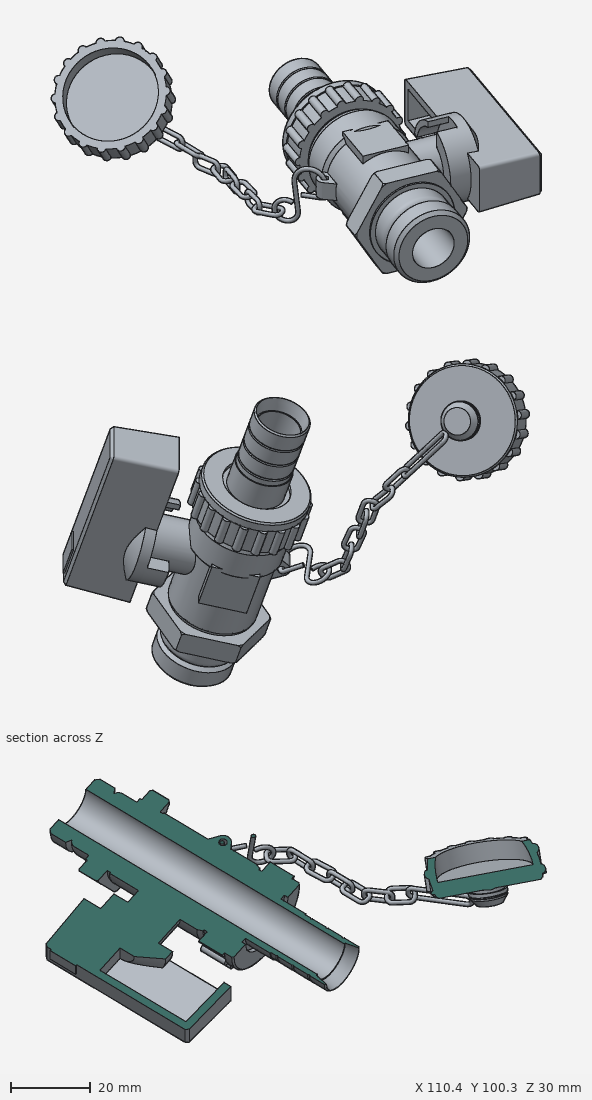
import cadquery as cq
import math


bore_d = 11.5
tail_start = -48.7
tail_d = 14.7
tail_chamfer = 0.7
tail_base_start = -31.4
tail_base_d = 15.2
barb_grooves = [-43.2, -38.2, -33.2]
barb_groove_width = 0.7
barb_groove_depth = 0.2
mouth_d = 13.9
mouth_throat_d = 12.1
mouth_depth = 4.0

nut_start = -24.7
rib_start = -22.1
nut_end = -14.6
nut_flange_d = 28.7
nut_rib_base_d = 28.0
nut_flange_chamfer = 0.4
nut_recess_d = 17.9
nut_recess_depth = 1.1

collar_start = -13.7
collar_chamfer_length = 1.5
collar_chamfer_depth = 0.5
collar_end = -4.4
collar_slope_end = -3.4
collar_d = 25.3
barrel_d = 23.3
hex_neck_d = 22.6
hex_neck_start = 15.9
hex_start = 16.8
hex_end = 22.9
hex_across_flats = 27.0
hex_chamfer = 0.4
spigot_ring_d = 23.3
spigot_ring_end = 23.4
spigot_d = 21.0
spigot_shoulder_d = 20.5
spigot_round_start = 27.6
spigot_round_r = 2.1
spigot_groove_d = 18.1
spigot_groove_x = 29.6
spigot_groove_flank = 0.8
spigot_end = 36.06
spigot_chamfer = 1.0

rib_count = 18
rib_d = 2.3
rib_circle_r = 14.08

pad_start = -5.5
pad_end = 7.0
pad_width = 12.6
pad_span = 24.3

lug_height = 5.0
lug_hole_d = 2.0
lug_hole_x = -1.4
lug_hole_y = -13.0
lug_tip_r = 2.2
lug_left_foot = (-4.4, -12.4)
lug_right_foot = (2.3, -11.5)
lug_inner_y = -9.9

stem_d = 13.8
skirt_start = 16.0
hub_start = 21.6
hub_top = 24.6
hub_peak = 28.7
hub_d = 22.5
hub_peak_d = 8.8
skirt_inner_d = 19.2
skirt_slot_width = 5.3
skirt_gap_top = 2.4
handle_x_min = -29.5
handle_x_max = 16.5
handle_top = 39.3
handle_thickness = 13.7
handle_wall = 2.2
handle_draft = 2
handle_edge = 1.0
handle_top_chamfer = 0.8
plate_x_min = 5.7
plate_x_max = 13.8
plate_width = 7.1
plate_top = 39.8

wire_d = 1.2
link_length = 7.3
link_width = 3.6
link_corner_r = 1.4

hook_lean = (-0.636, -0.772, 0)
upper_loop_r = 4.1
upper_loop_center = (3.9, 0.4)
lower_loop_r = 3.1
lower_loop_center = (10.0, -8.8)
lower_loop_opening = 50
hook_corner_r = 1.0
hook_foot = -3.5
hook_foot_end = 6.1

cap_center = (-57.5, -46.8, 3.5)
cap_axis = (0.5, -0.43, 0.75)
cap_height = 8.4
cap_d = 28.6
cap_chamfer = 0.4
cap_rib_offset = 1.0
cap_rib_turn = 13
cap_cavity_d = 24.5
cap_cavity_depth = 5.1
knob_length = 4.6
knob_end_d = 7.0
knob_d = 9.7
knob_neck_d = 9.0
knob_ring_d = 10.0
knob_ring_start = 0.9
knob_ring_end = 1.9
knob_neck_end = 2.3
knob_taper_start = 2.8
eye_tip = (-44.8, -32.7, -7.7)
eye_root = (-59.6, -39.5, -7.0)


def revolved_about_x(points):
    """Solid of revolution about X from (x, radius) points; the ends close onto the axis."""
    outline = [(points[0][0], 0)] + points + [(points[-1][0], 0)]
    return cq.Workplane("XY").polyline(outline).close().revolve(360, (0, 0, 0), (1, 0, 0))


def disc_along_y(diameter, start, end):
    plane = cq.Plane((0, start, 0), (1, 0, 0), (0, 1, 0))
    return cq.Workplane(plane).circle(diameter / 2).extrude(end - start)


def point_on_circle(center, radius, angle):
    a = math.radians(angle)
    return (center[0] + radius * math.cos(a), center[1] + radius * math.sin(a))


def grip_ribs(plane, length):
    return (
        cq.Workplane(plane)
        .polarArray(rib_circle_r, 0, 360, rib_count)
        .circle(rib_d / 2)
        .extrude(length)
    )


def hose_tail():
    r = tail_d / 2
    profile = [(tail_start, r - tail_chamfer), (tail_start + tail_chamfer, r)]
    for x in barb_grooves:
        profile += [
            (x - barb_groove_width / 2, r),
            (x, r - barb_groove_depth),
            (x + barb_groove_width / 2, r),
        ]
    profile += [
        (tail_base_start, r),
        (tail_base_start, tail_base_d / 2),
        (nut_end, tail_base_d / 2),
    ]
    return revolved_about_x(profile)


def union_nut():
    r = nut_flange_d / 2
    nut = revolved_about_x([
        (nut_start, r - nut_flange_chamfer),
        (nut_start + nut_flange_chamfer, r),
        (rib_start, r),
        (rib_start, nut_rib_base_d / 2),
        (nut_end, nut_rib_base_d / 2),
    ])
    rib_plane = cq.Plane((rib_start, 0, 0), (0, 1, 0), (1, 0, 0))
    nut = nut.union(grip_ribs(rib_plane, nut_end - rib_start))
    recess = (
        cq.Workplane("YZ", origin=(nut_start, 0, 0))
        .circle(nut_recess_d / 2)
        .extrude(nut_recess_depth)
    )
    return nut.cut(recess)


def barrel():
    r = barrel_d / 2
    return revolved_about_x([
        (nut_end, r),
        (collar_start, r),
        (collar_start, collar_d / 2 - collar_chamfer_depth),
        (collar_start + collar_chamfer_length, collar_d / 2),
        (collar_end, collar_d / 2),
        (collar_slope_end, r),
        (hex_neck_start, r),
        (hex_neck_start, hex_neck_d / 2),
        (hex_start, hex_neck_d / 2),
    ])


def hexagon():
    across_corners = hex_across_flats / math.cos(math.pi / 6)
    r = across_corners / 2
    prism = (
        cq.Workplane("YZ", origin=(hex_start, 0, 0))
        .polygon(6, across_corners)
        .extrude(hex_end - hex_start)
    )
    turned = revolved_about_x([
        (hex_start, r - hex_chamfer),
        (hex_start + hex_chamfer, r),
        (hex_end - hex_chamfer, r),
        (hex_end, r - hex_chamfer),
    ])
    return prism.intersect(turned)


def spigot():
    r = spigot_d / 2
    shoulder_r = spigot_shoulder_d / 2
    groove_r = spigot_groove_d / 2
    return (
        cq.Workplane("XY")
        .moveTo(hex_end, 0)
        .lineTo(hex_end, spigot_ring_d / 2)
        .lineTo(spigot_ring_end, spigot_ring_d / 2)
        .lineTo(spigot_ring_end, shoulder_r)
        .lineTo(spigot_round_start, shoulder_r)
        .radiusArc((spigot_groove_x, groove_r), spigot_round_r)
        .lineTo(spigot_groove_x + spigot_groove_flank, r)
        .lineTo(spigot_end - spigot_chamfer, r)
        .lineTo(spigot_end, r - spigot_chamfer)
        .lineTo(spigot_end, 0)
        .close()
        .revolve(360, (0, 0, 0), (1, 0, 0))
    )


def wrench_pads():
    length = pad_end - pad_start
    return cq.Workplane("XY").box(length, pad_width, pad_span).translate((pad_start + length / 2, 0, 0))


def chain_lug():
    center = (lug_hole_x, lug_hole_y)
    return (
        cq.Workplane("XY")
        .moveTo(lug_left_foot[0], lug_inner_y)
        .lineTo(*lug_left_foot)
        .lineTo(*point_on_circle(center, lug_tip_r, 215))
        .threePointArc(
            point_on_circle(center, lug_tip_r, 270),
            point_on_circle(center, lug_tip_r, 318),
        )
        .lineTo(*lug_right_foot)
        .lineTo(lug_right_foot[0], lug_inner_y)
        .close()
        .extrude(lug_height / 2, both=True)
    )


def lug_hole():
    return (
        cq.Workplane("XY")
        .center(lug_hole_x, lug_hole_y)
        .circle(lug_hole_d / 2)
        .extrude(lug_height, both=True)
    )


def flow_passage():
    mouth = revolved_about_x([
        (tail_start, mouth_d / 2),
        (tail_start + mouth_depth, mouth_throat_d / 2),
    ])
    through = (
        cq.Workplane("YZ", origin=(tail_start, 0, 0))
        .circle(bore_d / 2)
        .extrude(spigot_end - tail_start)
    )
    return mouth.union(through)


def handle_box(inset, height):
    """Drafted block standing on the handle's lower face, inset on its four sides."""
    plane = cq.Plane(((handle_x_min + handle_x_max) / 2, hub_start, 0), (1, 0, 0), (0, 1, 0))
    width = handle_x_max - handle_x_min - 2 * inset
    return (
        cq.Workplane(plane)
        .rect(width, handle_thickness - 2 * inset)
        .extrude(height, taper=handle_draft)
    )


def handle():
    """Handle grip, hollow on its long side and solid beyond the stem."""
    height = handle_top - hub_start
    grip = handle_box(0, height)
    grip = grip.edges("not(#Y)").edges("not(|X or |Z)").fillet(handle_edge)
    grip = grip.faces(">Y").edges().chamfer(handle_top_chamfer)
    cavity = handle_box(handle_wall, height - handle_wall)
    solid_end = cq.Workplane("XY").box(handle_x_max, 2 * handle_top, handle_thickness)
    grip = grip.cut(cavity.cut(solid_end.translate((handle_x_max / 2, 0, 0))))
    plate = cq.Workplane("XY").box(plate_x_max - plate_x_min, handle_wall, plate_width)
    plate = plate.translate(((plate_x_min + plate_x_max) / 2, plate_top - handle_wall / 2, 0))
    return grip.union(plate).union(handle_hub())


def handle_hub():
    """Coned hub with a slotted stop skirt around the stem."""
    hub = (
        cq.Workplane("XY")
        .polyline([
            (0, hub_start),
            (hub_d / 2, hub_start),
            (hub_d / 2, hub_top),
            (hub_peak_d / 2, hub_peak),
            (0, hub_peak),
        ])
        .close()
        .revolve(360, (0, 0, 0), (0, 1, 0))
    )
    depth = hub_start - skirt_start
    middle = (skirt_start + hub_start) / 2
    hollow = disc_along_y(skirt_inner_d, skirt_start, hub_start)
    hollow = hollow.cut(cq.Workplane("XY").box(hub_d, depth, hub_d).translate((hub_d / 2, middle, 0)))
    slot = cq.Workplane("XY").box(skirt_slot_width, depth, hub_d).translate((0, middle, hub_d / 2))
    gap = cq.Workplane("XY").box(hub_d, depth, hub_d)
    gap = gap.translate((-hub_d / 2, middle, skirt_gap_top - hub_d / 2))
    skirt = disc_along_y(hub_d, skirt_start, hub_start).cut(hollow)
    return hub.union(skirt.cut(slot).cut(gap))


def make_valve():
    stem = disc_along_y(stem_d, 0, hub_start)
    valve = hose_tail().union(union_nut()).union(barrel()).union(hexagon()).union(spigot())
    valve = valve.union(wrench_pads()).union(chain_lug()).union(stem)
    valve = valve.cut(lug_hole()).cut(flow_passage())
    return valve.union(handle())


def wire_link(length):
    """Closed rounded-rectangle wire lying on XY, with its long sides on X."""
    x = length / 2
    y = link_width / 2
    c = link_corner_r
    k = c * (1 - math.sqrt(0.5))
    path = (
        cq.Workplane("XY")
        .moveTo(0, -y)
        .lineTo(x - c, -y)
        .threePointArc((x - k, -y + k), (x, -y + c))
        .lineTo(x, y - c)
        .threePointArc((x - k, y - k), (x - c, y))
        .lineTo(-x + c, y)
        .threePointArc((-x + k, y - k), (-x, y - c))
        .lineTo(-x, -y + c)
        .threePointArc((-x + k, -y + k), (-x + c, -y))
        .close()
    )
    return cq.Workplane("YZ", origin=(0, -y, 0)).circle(wire_d / 2).sweep(path)


def placed(body, center, along, across):
    normal = cq.Vector(*along).cross(cq.Vector(*across))
    plane = cq.Plane(cq.Vector(*center), cq.Vector(*along), normal)
    return body.val().moved(cq.Location(plane))


def make_hook():
    """S-shaped wire drawn with its upright direction on local Y."""
    ux, uy = upper_loop_center
    lx, ly = lower_loop_center

    def on_upper(angle):
        return point_on_circle(upper_loop_center, upper_loop_r, angle)

    def on_lower(angle):
        return point_on_circle(lower_loop_center, lower_loop_r, angle)

    gap = math.hypot(lx - ux, ly - uy)
    heading = math.degrees(math.atan2(ly - uy, lx - ux))
    touch = heading + math.degrees(math.acos((upper_loop_r + lower_loop_r) / gap))
    lower_end = touch + 180 - lower_loop_opening
    inner = ux - upper_loop_r
    k = hook_corner_r * (1 - math.sqrt(0.5))
    path = (
        cq.Workplane("XY")
        .moveTo(hook_foot_end, hook_foot)
        .lineTo(inner + hook_corner_r, hook_foot)
        .threePointArc((inner + k, hook_foot + k), (inner, hook_foot + hook_corner_r))
        .lineTo(inner, uy)
        .threePointArc(on_upper(90), on_upper(touch))
        .lineTo(*on_lower(touch + 180))
        .threePointArc(on_lower(touch - lower_loop_opening / 2), on_lower(lower_end))
    )
    start = cq.Workplane("YZ", origin=(hook_foot_end, hook_foot, 0))
    hook = start.circle(wire_d / 2).sweep(path)
    return placed(hook, (lug_hole_x, lug_hole_y, 0), hook_lean, (0, 0, 1))


def cap_knob():
    return (
        cq.Workplane("XZ")
        .polyline([
            (0, 0),
            (knob_neck_d / 2, 0),
            (knob_neck_d / 2, -knob_ring_start),
            (knob_ring_d / 2, -knob_ring_start),
            (knob_ring_d / 2, -knob_ring_end),
            (knob_neck_d / 2, -knob_ring_end),
            (knob_neck_d / 2, -knob_neck_end),
            (knob_d / 2, -knob_neck_end),
            (knob_d / 2, -knob_taper_start),
            (knob_end_d / 2, -knob_length),
            (0, -knob_length),
        ])
        .close()
        .revolve(360, (0, 0, 0), (0, 1, 0))
    )


def make_eye():
    """Long wire eye that ties the chain to the knob of the cap."""
    tip = cq.Vector(*eye_tip)
    root = cq.Vector(*eye_root)
    center = (tip + root) * 0.5
    along = tip - root
    return placed(wire_link(along.Length), center.toTuple(), along.toTuple(), (0, 0, 1))


def make_cap():
    """Cap built opening along +Z with its back on the local XY plane, then set in place."""
    cup = cq.Workplane("XY").circle(cap_d / 2).extrude(cap_height)
    cup = cup.faces("<Z").edges().chamfer(cap_chamfer)
    ribs = grip_ribs(cq.Plane((0, 0, cap_rib_offset)), cap_height - cap_rib_offset)
    ribs = ribs.rotate((0, 0, 0), (0, 0, 1), cap_rib_turn)
    cavity = (
        cq.Workplane("XY", origin=(0, 0, cap_height - cap_cavity_depth))
        .circle(cap_cavity_d / 2)
        .extrude(cap_cavity_depth)
    )
    axis = cq.Vector(*cap_axis).normalized()
    back = cq.Vector(*cap_center) - axis * cap_height
    plane = cq.Plane(back, cq.Vector(0, 0, 1).cross(axis), axis)
    cap = cup.union(ribs).cut(cavity).union(cap_knob()).val().moved(cq.Location(plane))
    return cq.Workplane("XY").add(cap).union(cq.Workplane("XY").add(make_eye())).val()


upright = (0, 0, 1)
level = (0, 1, 0)
link_places = [
    ((-11.4, -24.1, -9.9), (0.755, 0.656, 0.06), (-0.656, 0.755, 0)),
    ((-16.2, -26.1, -9.9), (1, 0.03, 0.08), upright),
    ((-22.3, -26.1, -9.7), (1, 0.06, 0), level),
    ((-28.2, -26.7, -10.3), (1, 0, 0), upright),
    ((-32.9, -26.7, -10.9), (1, 0, 0), level),
    ((-38.1, -29.0, -10.7), (0.88, 0.47, 0), upright),
    ((-43.5, -31.4, -8.7), (0.84, 0.49, -0.21), (0.45, -0.76, 0.47)),
]


def make_links():
    link = wire_link(link_length)
    return [placed(link, *place) for place in link_places]


valve = make_valve().val()
hook = make_hook()
links = make_links()
cap = make_cap()
result = cq.Compound.makeCompound([valve, hook, *links, cap])